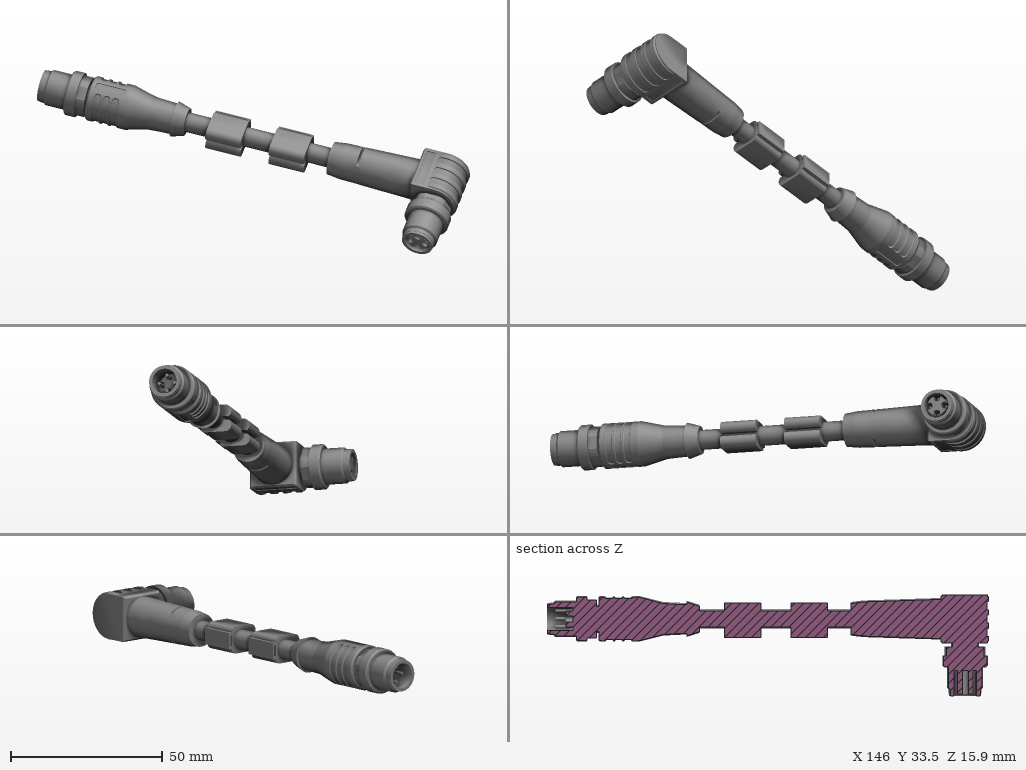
import cadquery as cq
import math


TOTAL_LENGTH = 146.0
REACH_Y = 33.5
CABLE_D = 6.5

RIM_D = 10.5
TIP_D = 10.8
BARREL_D = 12.0
RING_D = 15.0
NECK_D = 9.3
BORE_D = 8.3
RIM_LENGTH = 0.9
TIP_LENGTH = 2.2
BARREL_START = 2.8
RING_START = 9.6
RING_END = 13.3
NUT_END = 16.3
RING_CHAMFER = 0.5
NUT_SIDES = 6
NUT_FLATS = 12.7
NUT_CORNERS = 13.5
BORE_DEPTH = 8.5
PIN_D = 1.0
PIN_CIRCLE_D = 5.3
PIN_COUNT = 4
PIN_RECESS = 2.9
CORE_D = 6.5
POCKET_D = 2.3
CORE_RECESS = 6.1
ELBOW_CORE_RECESS = 0.6

GRIP_START = 17.1
GRIP_D = 15.0
GRIP_CHAMFER = 0.5
GRIP_CONE_START = 30.5
WAIST_START = 38.4
WAIST_START_D = 11.1
COLLAR_START = 46.1
WAIST_END_D = 10.4
COLLAR_D = 12.0
GRIP_END = 50.4
GRIP_END_D = 9.3
GROOVE_DEPTH = 0.5
GROOVE_FILLET = 0.36
GROOVE_WIDTH = 2.5
GRIP_GROOVE_FIRST = 20.6
GRIP_GROOVE_PITCH = 3.0
GRIP_GROOVE_COUNT = 3
GRIP_GROOVE_REACH = 2.8
PAD_START = 18.7
PAD_END = 29.0
PAD_WIDTH = 2.3
PAD_CORNER_RADIUS = 0.6

CLIP_STARTS = (58.5, 80.5)
CLIP_LENGTH = 12.1
CLIP_HEIGHT = 9.0
CLIP_FRONT_Y = -6.3
LIP_RADIUS = 2.2
SLIT_WIDTH = 1.2
FLAT_END_Y = 2.3
CLIP_CORNER_RADIUS = 1.8
CLIP_BACK_Y = 5.4
LABEL_SLOT_Y = 4.4
LABEL_SLOT_WIDTH = 0.9
LABEL_SLOT_HEIGHT = 3.8

BOOT_START = 100.3
BOOT_START_D = 11.1
BOOT_TAPER_START = 104.4
BOOT_TAPER_START_D = 12.1
BOOT_END_D = 13.7
NOTCH_START = 110.0
NOTCH_WIDTH = 0.9
NOTCH_FLOOR = 4.7

HEAD_START = 129.9
HEAD_DEPTH = 15.9
HEAD_BLOCK_HEIGHT = 15.2
HEAD_RIB_D = 15.9
HEAD_RIB_LENGTH = 15.0
HEAD_RIB_CHAMFER = 0.36
HEAD_GROOVE_D = 14.9
HEAD_CHAMFER = 0.6
HEAD_GROOVE_PITCH = 4.4
HEAD_GROOVE_REACH = 2.3
PANEL_START = 131.2
PANEL_END = 134.5
PANEL_WIDTH = 13.7
PANEL_DEPTH = 0.3

OVERLAP = 0.7
TOLERANCE = 0.01

HEAD_AXIS_X = TOTAL_LENGTH - HEAD_RIB_D / 2
HEAD_BACK_Y = HEAD_DEPTH / 2
PLUG_TIP_Y = HEAD_BACK_Y - REACH_Y


def turned(stations):
    """Solid of revolution about X from (x, diameter) stations."""
    points = [(x, diameter / 2) for x, diameter in stations]
    outline = [(stations[0][0], 0)] + points + [(stations[-1][0], 0)]
    return cq.Workplane("XY").polyline(outline).close().revolve(360, (0, 0, 0), (1, 0, 0))


def rod(start, length, diameter):
    """Cylinder on the X axis."""
    return cq.Workplane("YZ", origin=(start, 0, 0)).circle(diameter / 2).extrude(length)


def block(x_range, y_range, z_range):
    """Box between two limits on each axis."""
    sizes = [high - low for low, high in (x_range, y_range, z_range)]
    corner = (x_range[0], y_range[0], z_range[0])
    return cq.Workplane("XY").box(*sizes, centered=False).translate(corner)


def pin_pattern(start, length, diameter):
    """Cylinders along X at the pin positions."""
    return (
        cq.Workplane("YZ", origin=(start, 0, 0))
        .polarArray(PIN_CIRCLE_D / 2, 0, 360, PIN_COUNT)
        .circle(diameter / 2)
        .extrude(length)
    )


def plug(length, core_recess):
    """Plug with its tip at the origin, running along +X for the given length.

    A cross-shaped core stands in the bore, its face the given recess below the rim.
    """
    body = turned([
        (0, RIM_D),
        (RIM_LENGTH, RIM_D),
        (RIM_LENGTH, TIP_D),
        (TIP_LENGTH, TIP_D),
        (BARREL_START, BARREL_D),
        (RING_START, BARREL_D),
        (RING_START, RING_D - 2 * RING_CHAMFER),
        (RING_START + RING_CHAMFER, RING_D),
        (RING_END, RING_D),
        (RING_END, NECK_D),
        (length, NECK_D),
    ])
    nut_length = NUT_END - RING_END
    hexagon = (
        cq.Workplane("YZ", origin=(RING_END, 0, 0))
        .polygon(NUT_SIDES, NUT_FLATS / math.cos(math.pi / NUT_SIDES))
        .extrude(nut_length)
        .rotate((0, 0, 0), (1, 0, 0), 90)
    )
    nut = hexagon.intersect(rod(RING_END, nut_length, NUT_CORNERS))
    core_length = BORE_DEPTH + OVERLAP - core_recess
    core = rod(core_recess, core_length, CORE_D).cut(
        pin_pattern(core_recess, core_length - OVERLAP, POCKET_D)
    )
    pins = pin_pattern(PIN_RECESS, BORE_DEPTH + OVERLAP - PIN_RECESS, PIN_D)
    return body.union(nut).cut(rod(0, BORE_DEPTH, BORE_D)).union(core).union(pins)


def straight_grip():
    """Turned grip with finger grooves on both sides and a flat pad above and below."""
    grip = turned([
        (GRIP_START, GRIP_D - 2 * GRIP_CHAMFER),
        (GRIP_START + GRIP_CHAMFER, GRIP_D),
        (GRIP_CONE_START, GRIP_D),
        (WAIST_START, WAIST_START_D),
        (COLLAR_START, WAIST_END_D),
        (COLLAR_START, COLLAR_D),
        (GRIP_END, GRIP_END_D),
    ])
    floor = GRIP_D / 2 - GROOVE_DEPTH
    grip_length = GRIP_END - GRIP_START
    skin = rod(GRIP_START, grip_length, GRIP_D + OVERLAP).cut(
        rod(GRIP_START, grip_length, 2 * floor)
    )
    slot_length = GRIP_D
    centers = [
        (GRIP_GROOVE_FIRST + i * GRIP_GROOVE_PITCH, side * (GRIP_GROOVE_REACH + slot_length / 2))
        for i in range(GRIP_GROOVE_COUNT)
        for side in (-1, 1)
    ]
    slots = (
        cq.Workplane("XY")
        .pushPoints(centers)
        .slot2D(slot_length, GROOVE_WIDTH, 90)
        .extrude(GRIP_D, both=True)
    )

    def lies_on_floor(edge):
        ends = (edge.startPoint(), edge.endPoint())
        return all(abs(math.hypot(end.y, end.z) - floor) < TOLERANCE for end in ends)

    grooves = slots.intersect(skin).edges().filter(lies_on_floor).fillet(GROOVE_FILLET)
    grip = grip.cut(grooves)

    pad = (
        cq.Workplane("XY", origin=((PAD_START + PAD_END) / 2, 0, floor))
        .rect(PAD_END - PAD_START, PAD_WIDTH)
        .extrude(GRIP_D)
        .edges("|Z")
        .fillet(PAD_CORNER_RADIUS)
    )
    return grip.cut(pad).cut(pad.mirror("XY"))


def label_clip(start):
    """Clip of constant section with two rounded lips and a slot for a label."""
    top = CLIP_HEIGHT / 2
    slit = SLIT_WIDTH / 2
    lip_y = CLIP_FRONT_Y + LIP_RADIUS
    lip_z = top - LIP_RADIUS
    slit_y = lip_y - math.sqrt(LIP_RADIUS ** 2 - (lip_z - slit) ** 2)
    back_z = top - CLIP_CORNER_RADIUS
    corner_y = FLAT_END_Y + CLIP_CORNER_RADIUS
    bend = CLIP_CORNER_RADIUS * math.sqrt(0.5)
    corner_mid = (FLAT_END_Y + bend, back_z + bend)
    half = (
        cq.Workplane("YZ", origin=(start, 0, 0))
        .moveTo(0, 0)
        .lineTo(0, slit)
        .lineTo(slit_y, slit)
        .threePointArc((CLIP_FRONT_Y, lip_z), (lip_y, top))
        .lineTo(FLAT_END_Y, top)
        .threePointArc(corner_mid, (corner_y, back_z))
        .lineTo(CLIP_BACK_Y, back_z)
        .lineTo(CLIP_BACK_Y, 0)
        .close()
        .extrude(CLIP_LENGTH)
    )
    label_slot = (
        cq.Workplane("YZ", origin=(start, LABEL_SLOT_Y, 0))
        .rect(LABEL_SLOT_WIDTH, LABEL_SLOT_HEIGHT)
        .extrude(CLIP_LENGTH)
    )
    return half.union(half.mirror("XY")).cut(label_slot)


def boot():
    """Tapered boot behind the elbow head, notched above and below."""
    body = turned([
        (BOOT_START, BOOT_START_D),
        (BOOT_TAPER_START, BOOT_TAPER_START_D),
        (HEAD_START, BOOT_END_D),
        (HEAD_START + OVERLAP, BOOT_END_D),
    ])
    half_width = BOOT_END_D / 2
    notch = block(
        (NOTCH_START, NOTCH_START + NOTCH_WIDTH),
        (-half_width, half_width),
        (NOTCH_FLOOR, half_width),
    )
    return body.cut(notch).cut(notch.mirror("XY"))


def head_shape(height, depth):
    """Block ending in a half round about the axis of the elbow plug."""
    half_depth = depth / 2
    half_height = height / 2
    round_end = (
        cq.Workplane("XZ", origin=(HEAD_AXIS_X, half_depth, 0)).circle(half_height).extrude(depth)
    )
    straight_part = block(
        (HEAD_START, HEAD_AXIS_X), (-half_depth, half_depth), (-half_height, half_height)
    )
    return straight_part.union(round_end)


def elbow_head():
    """Block with a ribbed round end and a recessed panel above and below."""
    half_height = HEAD_BLOCK_HEIGHT / 2
    head = head_shape(HEAD_BLOCK_HEIGHT, HEAD_DEPTH).faces("<X").chamfer(HEAD_CHAMFER)
    ribs = (
        cq.Workplane("XZ", origin=(HEAD_AXIS_X, HEAD_RIB_LENGTH / 2, 0))
        .circle(HEAD_RIB_D / 2)
        .extrude(HEAD_RIB_LENGTH)
        .edges()
        .chamfer(HEAD_RIB_CHAMFER)
    )
    slot_length = 2 * HEAD_DEPTH
    slot_x = HEAD_AXIS_X - HEAD_GROOVE_REACH + slot_length / 2
    grooves = (
        cq.Workplane("XY")
        .pushPoints([(slot_x, i * HEAD_GROOVE_PITCH) for i in (-1, 0, 1)])
        .slot2D(slot_length, GROOVE_WIDTH)
        .extrude(HEAD_DEPTH, both=True)
        .cut(head_shape(HEAD_GROOVE_D, HEAD_DEPTH))
    )
    panel = block(
        (PANEL_START, PANEL_END),
        (-PANEL_WIDTH / 2, PANEL_WIDTH / 2),
        (half_height - PANEL_DEPTH, half_height),
    )
    return head.union(ribs).cut(grooves).cut(panel).cut(panel.mirror("XY"))


def elbow_plug():
    """Plug turned to point to -Y, with its hexagon corners on the X direction."""
    length = -HEAD_DEPTH / 2 - PLUG_TIP_Y + OVERLAP
    return (
        plug(length, ELBOW_CORE_RECESS)
        .rotate((0, 0, 0), (1, 0, 0), 90)
        .rotate((0, 0, 0), (0, 0, 1), 90)
        .translate((HEAD_AXIS_X, PLUG_TIP_Y, 0))
    )


cable = rod(GRIP_END - OVERLAP, BOOT_START - GRIP_END + 2 * OVERLAP, CABLE_D)

result = plug(GRIP_START + OVERLAP, CORE_RECESS).union(straight_grip()).union(cable)
for clip_start in CLIP_STARTS:
    result = result.union(label_clip(clip_start))
result = result.union(boot()).union(elbow_head()).union(elbow_plug())